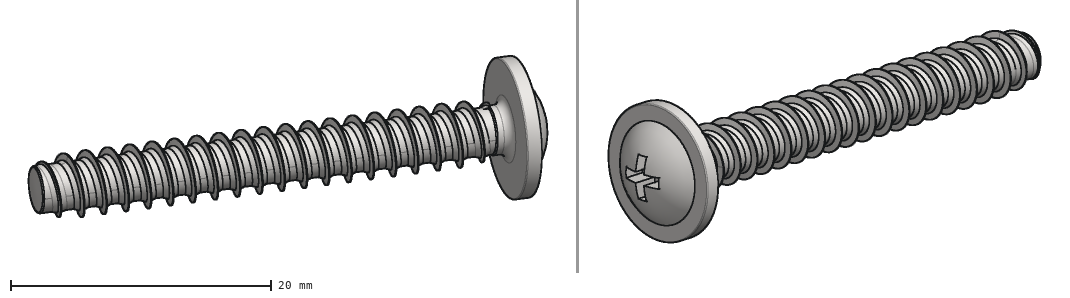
import cadquery as cq
import math


total_length = 41.1
shank_length = 38.0
head_height = total_length - shank_length

flange_diameter = 11.0
flange_thickness = 1.25
flange_edge_round = 0.1
dome_radius = 5.43

recess_span = 3.6
recess_wing_width = 0.9
recess_depth = 2.05

recess_corner = recess_wing_width / math.sqrt(2)
dome_centre = math.sqrt(dome_radius**2 - recess_corner**2) - head_height
dome_apex = dome_centre - dome_radius
dome_rim = math.sqrt(dome_radius**2 - (dome_centre + flange_thickness) ** 2)

core_radius = 1.85
neck_radius = 1.95
neck_length = 1.2
neck_taper_length = 0.12
neck_fillet = 0.7
tip_radius = 1.75
tip_taper_length = 0.12
tip_cone_height = 0.1
tip_taper_start = shank_length - tip_cone_height - tip_taper_length

thread_radius = 2.55
shoulder_radius = 2.0
first_crest = 2.45
last_crest = 36.65
turns_between_crests = 19
pitch = (last_crest - first_crest) / turns_between_crests
crest_half_width = 0.05
shoulder_half_width = 0.15
foot_half_width = 0.65
start_fade_turns = 1.25
end_fade_turns = 1.5
runout_turns = 0.75
thread_start_turn = -runout_turns
thread_end_turn = turns_between_crests + runout_turns

start_crest_radius = 2.18
start_shoulder_radius = 1.97
end_crest_radius = 1.95
end_shoulder_radius = 1.9
end_shoulder_half_width = 0.1

foot_inset = 0.02
root_inset = 0.2
foot_radius = core_radius - foot_inset
root_radius = core_radius - root_inset


def make_head_and_shank():
    """Revolve the dome, flange, filleted neck, core and tapered tip in one outline."""
    flange_radius = flange_diameter / 2
    outline = (
        cq.Workplane("XZ")
        .moveTo(0, dome_apex)
        .radiusArc((dome_rim, -flange_thickness), -dome_radius)
        .lineTo(flange_radius - flange_edge_round, -flange_thickness)
        .radiusArc((flange_radius, flange_edge_round - flange_thickness), -flange_edge_round)
        .lineTo(flange_radius, -flange_edge_round)
        .radiusArc((flange_radius - flange_edge_round, 0), -flange_edge_round)
        .lineTo(neck_radius + neck_fillet, 0)
        .radiusArc((neck_radius, neck_fillet), neck_fillet)
        .lineTo(neck_radius, neck_length)
        .lineTo(core_radius, neck_length + neck_taper_length)
        .lineTo(core_radius, tip_taper_start)
        .lineTo(tip_radius, shank_length - tip_cone_height)
        .lineTo(0, shank_length)
        .close()
    )
    return outline.revolve(360, (0, 0, 0), (0, 1, 0))


def make_recess():
    """Two crossed wings sunk into the top of the dome."""
    wing = cq.Workplane("XY").workplane(offset=dome_apex).rect(recess_span, recess_wing_width)
    wing = wing.extrude(recess_depth)
    return wing.union(wing.rotate((0, 0, 0), (0, 0, 1), 90))


def section(crest, shoulder, shoulder_offset):
    """Thread section as (axial offset, radius) corners: slim flight on a low, wide foot."""
    lower_half = [
        (-foot_half_width, root_radius),
        (-foot_half_width, foot_radius),
        (-shoulder_offset, shoulder),
        (-crest_half_width, crest),
    ]
    upper_half = [(-offset, radius) for offset, radius in reversed(lower_half)]
    return lower_half + upper_half


def helix_edge(start_turn, end_turn, start_corner, end_corner):
    """Helical edge that runs evenly from a corner of one section to that of another."""
    start_offset, start_radius = start_corner
    end_offset, end_radius = end_corner
    turns = end_turn - start_turn
    height = turns * pitch + end_offset - start_offset
    rise = height / turns
    base = cq.Vector(0, 0, first_crest + start_turn * pitch + start_offset)
    axis = cq.Vector(0, 0, 1)
    if start_radius == end_radius:
        wire = cq.Wire.makeHelix(rise, height, start_radius, base, axis)
    else:
        angle = math.atan2(end_radius - start_radius, height)
        slant = 1 / math.cos(angle)
        wire = cq.Wire.makeHelix(
            rise * slant, height * slant, start_radius, base, axis, math.degrees(angle)
        )
    turned = wire.rotate(cq.Vector(0, 0, 0), axis, 360 * start_turn)
    return turned.Edges()[0]


def thread_segment(start_turn, end_turn, start_section, end_section):
    """Solid between two thread sections, bounded by ruled helical faces and flat ends."""
    edges = [
        helix_edge(start_turn, end_turn, start_corner, end_corner)
        for start_corner, end_corner in zip(start_section, end_section)
    ]
    faces = [cq.Face.makeRuledSurface(edges[i - 1], edges[i]) for i in range(len(edges))]
    for corners in ([e.startPoint() for e in edges], [e.endPoint() for e in edges]):
        faces.append(cq.Face.makeFromWires(cq.Wire.makePolygon(corners, close=True)))
    solid = cq.Solid.makeSolid(cq.Shell.makeShell(faces))
    return cq.Workplane(solid.fix())


def make_thread():
    """Thread that fades at both ends, trimmed between the neck and the tapered tip."""
    full = section(thread_radius, shoulder_radius, shoulder_half_width)
    start = section(start_crest_radius, start_shoulder_radius, end_shoulder_half_width)
    end = section(end_crest_radius, end_shoulder_radius, end_shoulder_half_width)
    full_start_turn = thread_start_turn + start_fade_turns
    full_end_turn = thread_end_turn - end_fade_turns
    segments = [
        thread_segment(thread_start_turn, full_start_turn, start, full),
        thread_segment(full_start_turn, full_end_turn, full, full),
        thread_segment(full_end_turn, thread_end_turn, full, end),
    ]
    trim_length = tip_taper_start - neck_length
    trim_radius = flange_diameter / 2
    trim = cq.Workplane("XY").workplane(offset=neck_length).circle(trim_radius).extrude(trim_length)
    return [segment.intersect(trim) for segment in segments]


screw = make_head_and_shank().cut(make_recess())
for thread_part in make_thread():
    screw = screw.union(thread_part)

result = screw.rotate((0, 0, 0), (1, 0, 0), 90).solids()